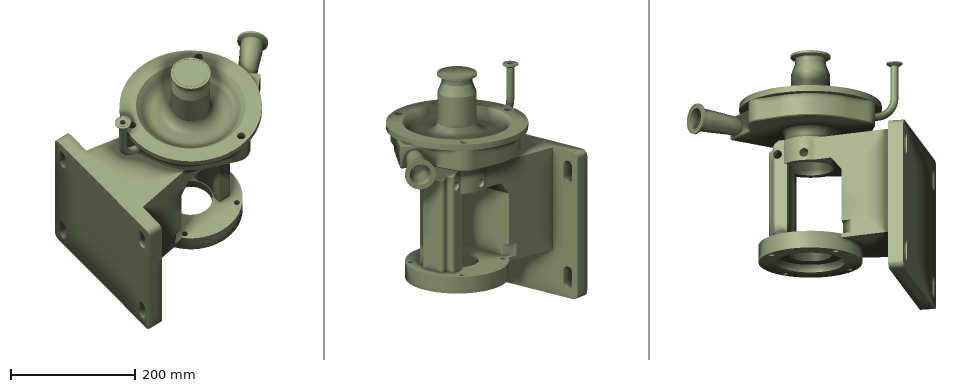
import cadquery as cq
import math


plate_side = 250
plate_back_y = -180.0
plate_thickness = 25.0
plate_corner_radius = 10.0
slot_length = 37.0
slot_width = 17.5
slot_offset_x = 104.8
slot_offset_z = 90.0
plate_front_y = plate_back_y + plate_thickness

bracket_bottom_z = 76.5
bracket_root_half_width = 74.0
bracket_tip_y = -15.5
bracket_front_y = -63.3
arm_bottom_z = 213.0
arm_chamfer_y = 17.7
arm_chamfer_z = 21.0
notch_depth = 15.7
notch_height = 21.5

base_radius = 84.0
base_bottom_z = 55.2
base_thickness = 28.2
base_bore_radius = 35.0
base_lip_thickness = 15.5
base_pilot_radius = 55.0
base_hole_circle = 75.0
base_hole_count = 4
base_hole_start_angle = 45
base_hole_radius = 5.0
base_top_z = base_bottom_z + base_thickness
collar_radius = 50.5
collar_top_z = 253.0
collar_bore_radius = 37.0
column_half_width = 35.5
column_front_y = 31.0
column_back_y = 55.2
column_rib_half_width = 21.8
column_rib_back_y = 65.0
column_corner_radius = 5.5
column_chamfer_y = 21.0
column_chamfer_z = 15.5
cross_hole_radius = 7.3
column_hole_y = 46.7
column_hole_z = 229.7
collar_hole_z = 225.5

neck_radius = 42.0
neck_flare_radius = 46.7
neck_straight_top_z = 262
casing_radius = 97.0
casing_wide_radius = 102.5
casing_bottom_z = 273.0
casing_edge_chamfer = 1.5
lobe_center_radius = 87.0
lobe_angles = (15, 135, 255)
lobe_radius = 27.0
flange_radius = 115.0
flange_bottom_z = 309.5
flange_top_z = 319.0
flange_hole_circle = 102.5
flange_hole_radius = 7.0
flange_hole_depth = 20

dish_rim_radius = 88.3
dish_wall_radius = 77.5
dish_floor_radius = 67.5
dish_hub_radius = 51.5
dish_depth = 15.5

top_z = 403
inlet_radius = 31.5
inlet_shoulder_z = 370.8
inlet_throat_z = 388.0
inlet_throat_radius = 25.0
ferrule_radius = 32.2
ferrule_rim = 3.5
ferrule_taper = 3.0

groove_inset = 2.5
groove_width = 2.5
groove_depth = 1.0

outlet_angle = 135
outlet_across = 79.0
outlet_z = 289.8
outlet_block_end = 87.5
outlet_block_inner = 44.5
outlet_pipe_start = 90.3
outlet_taper_end = 150.5
outlet_end = 170.0
outlet_root_radius = 15.0
outlet_radius = 18.5
outlet_stub_radius = 13.0
outlet_wall = 1.2
outlet_ferrule_radius = 25.0

flush_y = -138.2
flush_z = 293.5
flush_bend_radius = 28.2
flush_radius = 6.5
flush_bore_radius = 5.0
flush_top_z = 381.5
flush_ferrule_radius = 13.0
flush_rim = 2.0
flush_taper = 3.5


def cylinder(radius, bottom_z, cylinder_top_z):
    return cq.Workplane("XY").workplane(offset=bottom_z).circle(radius).extrude(cylinder_top_z - bottom_z)


def cross_bore(y, z, start_x, end_x):
    plane = cq.Workplane("YZ", origin=(start_x, y, z))
    return plane.circle(cross_hole_radius).extrude(end_x - start_x)


def bracket_half_width(y):
    tip_half_width = math.sqrt(collar_radius**2 - bracket_tip_y**2)
    taper = (bracket_root_half_width - tip_half_width) / (bracket_tip_y - plate_front_y)
    return bracket_root_half_width - taper * (y - plate_front_y)


def mounting_plate():
    center = (0, plate_back_y, plate_side / 2)
    plate = (
        cq.Workplane("XZ", origin=center)
        .rect(plate_side, plate_side)
        .extrude(-plate_thickness)
        .edges("|Y")
        .fillet(plate_corner_radius)
    )
    slots = (
        cq.Workplane("XZ", origin=center)
        .rect(2 * slot_offset_x, 2 * slot_offset_z, forConstruction=True)
        .vertices()
        .slot2D(slot_length, slot_width, 90)
        .extrude(-plate_thickness)
    )
    return plate.cut(slots)


def bracket():
    root = bracket_half_width(plate_front_y)
    tip = bracket_half_width(bracket_tip_y)
    plan = (
        cq.Workplane("XY")
        .workplane(offset=bracket_bottom_z)
        .polyline([(-root, plate_front_y), (root, plate_front_y), (tip, bracket_tip_y), (-tip, bracket_tip_y)])
        .close()
        .extrude(plate_side - bracket_bottom_z)
    )
    profile = (
        cq.Workplane("YZ", origin=(-root, 0, 0))
        .polyline([
            (plate_front_y, bracket_bottom_z),
            (bracket_front_y, bracket_bottom_z),
            (bracket_front_y, arm_bottom_z - arm_chamfer_z),
            (bracket_front_y + arm_chamfer_y, arm_bottom_z),
            (bracket_tip_y, arm_bottom_z),
            (bracket_tip_y, plate_side),
            (plate_front_y, plate_side),
        ])
        .close()
        .extrude(2 * root)
    )
    return plan.intersect(profile)


def corner_notches():
    """Diagonal cuts that clear the base ring screws beside the bracket."""
    outer_x = bracket_root_half_width
    cut_y = bracket_front_y - notch_depth
    edge_x = bracket_half_width(cut_y)
    inner_x = edge_x - notch_depth
    notch = (
        cq.Workplane("XY")
        .workplane(offset=base_top_z)
        .polyline([
            (inner_x, bracket_front_y), (edge_x, cut_y), (outer_x, cut_y), (outer_x, bracket_front_y),
        ])
        .close()
        .extrude(notch_height)
    )
    return notch.union(notch.mirror("YZ"))


def rounded_post(half_width, back_y):
    return (
        cq.Workplane("XY", origin=(0, (column_front_y + back_y) / 2, base_top_z))
        .rect(2 * half_width, back_y - column_front_y)
        .extrude(collar_top_z - base_top_z)
        .edges("|Z and >Y")
        .fillet(column_corner_radius)
    )


def column():
    wall = rounded_post(column_half_width, column_back_y)
    rib = rounded_post(column_rib_half_width, column_rib_back_y)
    return wall.union(rib)


def back_top_corner():
    """Sloped cut across the back of the column and collar."""
    return (
        cq.Workplane("YZ", origin=(-collar_radius, 0, 0))
        .moveTo(column_rib_back_y, collar_top_z)
        .lineTo(column_rib_back_y - column_chamfer_y, collar_top_z)
        .lineTo(column_rib_back_y, collar_top_z - column_chamfer_z)
        .close()
        .extrude(2 * collar_radius)
    )


def support():
    collar = cylinder(collar_radius, arm_bottom_z, collar_top_z)
    base = cylinder(base_radius, base_bottom_z, base_top_z)
    base_holes = (
        cq.Workplane("XY")
        .workplane(offset=base_bottom_z)
        .polarArray(base_hole_circle, base_hole_start_angle, 360, base_hole_count)
        .circle(base_hole_radius)
        .extrude(base_thickness)
    )
    body = bracket().cut(corner_notches()).union(collar).union(column()).cut(back_top_corner())
    body = body.cut(cylinder(collar_bore_radius, base_top_z, collar_top_z))
    body = body.union(base.cut(base_holes))
    body = body.cut(cylinder(base_bore_radius, base_bottom_z, base_top_z))
    body = body.cut(cylinder(base_pilot_radius, base_bottom_z, base_top_z - base_lip_thickness))
    body = body.cut(cross_bore(column_hole_y, column_hole_z, -collar_radius, collar_radius))
    return body.cut(cross_bore(0, collar_hole_z, -collar_radius, 0))


def tangent_normal(wall_radius):
    """Angle from a lobe's axis to the normal of the flat tangent to the lobe and the wall."""
    return math.acos((wall_radius - lobe_radius) / lobe_center_radius)


def on_circle(radius, angle, center_x=0):
    return (center_x + radius * math.cos(angle), radius * math.sin(angle))


def lobe(angle, radius_before, radius_after):
    """Rounded corner of the casing, with flats running into the walls on either side."""
    before = -tangent_normal(radius_before)
    after = tangent_normal(radius_after)
    shape = (
        cq.Workplane("XY")
        .workplane(offset=casing_bottom_z)
        .moveTo(0, 0)
        .lineTo(*on_circle(radius_before, before))
        .lineTo(*on_circle(lobe_radius, before, lobe_center_radius))
        .threePointArc(
            (lobe_center_radius + lobe_radius, 0),
            on_circle(lobe_radius, after, lobe_center_radius),
        )
        .lineTo(*on_circle(radius_after, after))
        .close()
        .extrude(flange_bottom_z - casing_bottom_z)
    )
    return shape.rotate((0, 0, 0), (0, 0, 1), angle)


def wide_sector(start_angle, end_angle):
    start, middle, end = (
        on_circle(casing_wide_radius, math.radians(angle))
        for angle in (start_angle, (start_angle + end_angle) / 2, end_angle)
    )
    return (
        cq.Workplane("XY")
        .workplane(offset=casing_bottom_z)
        .moveTo(0, 0)
        .lineTo(*start)
        .threePointArc(middle, end)
        .close()
        .extrude(flange_bottom_z - casing_bottom_z)
    )


def casing():
    first, second, third = lobe_angles
    body = (
        cylinder(casing_radius, casing_bottom_z, flange_bottom_z)
        .union(wide_sector(second, third))
        .union(lobe(first, casing_radius, casing_radius))
        .union(lobe(second, casing_radius, casing_wide_radius))
        .union(lobe(third, casing_wide_radius, casing_radius))
    )
    block = (
        cq.Workplane("XY")
        .workplane(offset=casing_bottom_z)
        .moveTo(0, -casing_wide_radius)
        .lineTo(outlet_block_end, -casing_wide_radius)
        .lineTo(outlet_block_end, -outlet_block_inner)
        .lineTo(0, -outlet_block_inner)
        .close()
        .extrude(flange_bottom_z - casing_bottom_z)
        .rotate((0, 0, 0), (0, 0, 1), outlet_angle)
    )
    return body.union(block).faces("<Z").edges().chamfer(casing_edge_chamfer)


def neck():
    return (
        cq.Workplane("XZ")
        .moveTo(0, collar_top_z)
        .lineTo(neck_radius, collar_top_z)
        .lineTo(neck_radius, neck_straight_top_z)
        .tangentArcPoint((neck_flare_radius, casing_bottom_z), relative=False)
        .lineTo(0, casing_bottom_z)
        .close()
        .revolve(360, (0, 0, 0), (0, 1, 0))
    )


def dish():
    floor_z = flange_top_z - dish_depth
    wall_end_z = flange_top_z - (dish_rim_radius - dish_wall_radius)
    return (
        cq.Workplane("XZ")
        .moveTo(inlet_radius, flange_top_z)
        .lineTo(dish_rim_radius, flange_top_z)
        .lineTo(dish_wall_radius, wall_end_z)
        .tangentArcPoint((dish_floor_radius, floor_z), relative=False)
        .lineTo(dish_hub_radius, floor_z)
        .tangentArcPoint((inlet_radius, flange_top_z), relative=False)
        .close()
        .revolve(360, (0, 0, 0), (0, 1, 0))
    )


def flange():
    holes = (
        cq.Workplane("XY")
        .workplane(offset=flange_top_z - flange_hole_depth)
        .polarArray(flange_hole_circle, lobe_angles[0], 360, len(lobe_angles))
        .circle(flange_hole_radius)
        .extrude(flange_hole_depth)
    )
    disc = cylinder(flange_radius, flange_bottom_z, flange_top_z)
    return casing().union(disc).cut(holes).cut(dish())


def gasket_groove(rim_radius, face_z):
    outer = rim_radius - groove_inset
    return (
        cq.Workplane("XY")
        .workplane(offset=face_z - groove_depth)
        .circle(outer)
        .circle(outer - groove_width)
        .extrude(groove_depth)
    )


def inlet():
    rim_z = top_z - ferrule_rim
    tube = (
        cq.Workplane("XZ")
        .moveTo(0, flange_top_z - dish_depth)
        .lineTo(inlet_radius, flange_top_z - dish_depth)
        .lineTo(inlet_radius, inlet_shoulder_z)
        .lineTo(inlet_throat_radius, inlet_throat_z)
        .lineTo(inlet_throat_radius, rim_z - ferrule_taper)
        .lineTo(ferrule_radius, rim_z)
        .lineTo(ferrule_radius, top_z)
        .lineTo(0, top_z)
        .close()
        .revolve(360, (0, 0, 0), (0, 1, 0))
    )
    return tube.cut(gasket_groove(ferrule_radius, top_z))


def outlet_pipe():
    """Tapered, open pipe turned about its own axis, then swung into place."""
    rim = outlet_end - ferrule_rim
    pipe = (
        cq.Workplane("XY")
        .moveTo(outlet_block_inner, 0)
        .lineTo(outlet_block_inner, outlet_stub_radius)
        .lineTo(outlet_pipe_start, outlet_stub_radius)
        .lineTo(outlet_pipe_start, outlet_root_radius)
        .lineTo(outlet_taper_end, outlet_radius)
        .lineTo(rim - ferrule_taper, outlet_radius)
        .lineTo(rim, outlet_ferrule_radius)
        .lineTo(outlet_end, outlet_ferrule_radius)
        .lineTo(outlet_end, outlet_radius - outlet_wall)
        .lineTo(outlet_taper_end, outlet_radius - outlet_wall)
        .lineTo(outlet_pipe_start, outlet_root_radius - outlet_wall)
        .lineTo(outlet_pipe_start, 0)
        .close()
        .revolve(360, (0, 0, 0), (1, 0, 0))
    )
    groove = gasket_groove(outlet_ferrule_radius, outlet_end).rotate((0, 0, 0), (0, 1, 0), 90)
    pipe = pipe.cut(groove)
    return pipe.translate((0, -outlet_across, outlet_z)).rotate((0, 0, 0), (0, 0, 1), outlet_angle)


def flush_line():
    bend_start_y = flush_y + flush_bend_radius
    bend_end_z = flush_z + flush_bend_radius
    bend_reach = flush_bend_radius * math.sqrt(0.5)
    path = (
        cq.Workplane("YZ")
        .moveTo(-lobe_center_radius, flush_z)
        .lineTo(bend_start_y, flush_z)
        .threePointArc((bend_start_y - bend_reach, bend_end_z - bend_reach), (flush_y, bend_end_z))
        .lineTo(flush_y, flush_top_z)
    )
    tube = cq.Workplane("XZ", origin=(0, -lobe_center_radius, flush_z)).circle(flush_radius).sweep(path)
    rim_z = flush_top_z - flush_rim
    ferrule = (
        cq.Workplane("XZ", origin=(0, flush_y, 0))
        .moveTo(0, rim_z - flush_taper)
        .lineTo(flush_radius, rim_z - flush_taper)
        .lineTo(flush_ferrule_radius, rim_z)
        .lineTo(flush_ferrule_radius, flush_top_z)
        .lineTo(0, flush_top_z)
        .close()
        .revolve(360, (0, 0, 0), (0, 1, 0))
    )
    bore = cylinder(flush_bore_radius, bend_end_z, flush_top_z).translate((0, flush_y, 0))
    groove = gasket_groove(flush_ferrule_radius, flush_top_z).translate((0, flush_y, 0))
    return tube.union(ferrule).cut(bore).cut(groove)


result = (
    mounting_plate()
    .union(support())
    .union(neck())
    .union(flange())
    .union(inlet())
    .union(outlet_pipe())
    .union(flush_line())
)